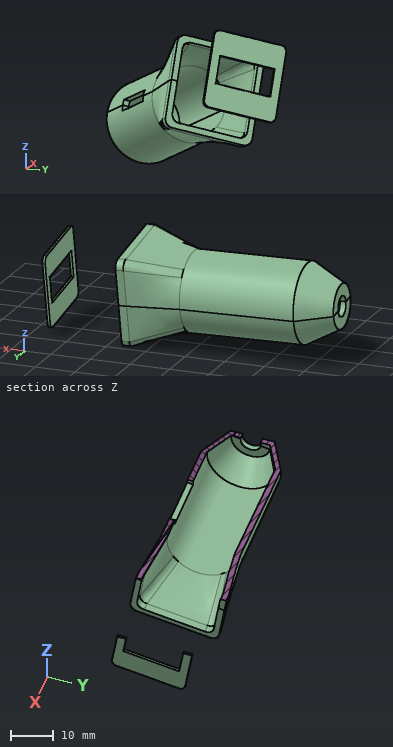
import cadquery as cq
import math

ROLL = -8.8
PITCH = 1.2
YAW = -0.2

NOSE_LENGTH = 8.4
BARREL_LENGTH = 28.8
FLARE_LENGTH = 13.0
FLANGE_LENGTH = 2.0
BARREL_START = NOSE_LENGTH
FLARE_START = BARREL_START + BARREL_LENGTH
FLANGE_START = FLARE_START + FLARE_LENGTH
HOUSING_LENGTH = FLANGE_START + FLANGE_LENGTH

WALL = 1.5
BARREL_RADIUS = 10.0
NOSE_RADIUS = 5.5
NOSE_HOLE_RADIUS = 2.5
FLANGE_WIDTH = 22.3
FLANGE_HEIGHT = 22.7
FLANGE_CORNER_RADIUS = 2.0

CORNER_ARC_SPAN = 12.0
FLARE_TWIST = 5.5

SLOT_START = 18.4
SLOT_LENGTH = 13.1
SLOT_HEIGHT = 2.7

PLATE_INSET = 1.95
PLATE_WIDTH = FLANGE_WIDTH - 2 * PLATE_INSET
PLATE_HEIGHT = FLANGE_HEIGHT - 2 * PLATE_INSET
PLATE_THICKNESS = 0.7
PLATE_CORNER_RADIUS = 1.45
PLATE_START = 70.85
WINDOW_WIDTH = 14.0
WINDOW_HEIGHT = 6.8


def placed(body):
    """Turn a body built along the X axis into its final attitude."""
    return (
        body.rotate((0, 0, 0), (1, 0, 0), ROLL)
        .rotate((0, 0, 0), (0, 1, 0), PITCH)
        .rotate((0, 0, 0), (0, 0, 1), YAW)
    )


def section(x):
    """Workplane across the axis at x; its own x and y are the part's Y and Z."""
    return cq.Workplane("YZ", origin=(x, 0, 0))


def rounded_block(x, length, width, height, corner_radius):
    """Block along the axis from x, with its four long edges rounded."""
    return section(x).rect(width, height).extrude(length).edges("|X").fillet(corner_radius)


def polar(radius, degrees, center=(0, 0)):
    """Point on a circle at an angle counted from Y towards Z."""
    angle = math.radians(degrees)
    return (center[0] + radius * math.cos(angle), center[1] + radius * math.sin(angle))


def arc_outline(plane, arcs, straight_sides):
    """Close four corner arcs, joined by straight sides or by arcs about the axis."""
    radius = math.hypot(*arcs[0][0])
    outline = plane.moveTo(*arcs[0][0])
    for index, (_, middle, end) in enumerate(arcs):
        outline = outline.threePointArc(middle, end)
        following = arcs[(index + 1) % len(arcs)][0]
        if straight_sides:
            outline = outline.lineTo(*following)
        else:
            between = math.degrees(math.atan2(end[1] + following[1], end[0] + following[0]))
            outline = outline.threePointArc(polar(radius, between), following)
    return outline.close()


def flare(radius, width, height, corner_radius):
    """Transition from the round barrel to the rounded rectangle of the flange."""
    half_span = CORNER_ARC_SPAN / 2
    circle_arcs = []
    corner_arcs = []
    for index in range(4):
        diagonal = 45 + 90 * index
        circle_middle = diagonal + FLARE_TWIST
        circle_arcs.append([polar(radius, circle_middle + turn) for turn in (-half_span, 0, half_span)])
        center = (
            math.copysign(width / 2 - corner_radius, math.cos(math.radians(diagonal))),
            math.copysign(height / 2 - corner_radius, math.sin(math.radians(diagonal))),
        )
        corner_arcs.append([polar(corner_radius, diagonal + turn, center) for turn in (-45, 0, 45)])
    circle = arc_outline(section(FLARE_START), circle_arcs, straight_sides=False).wires().val()
    rectangle = arc_outline(section(FLANGE_START), corner_arcs, straight_sides=True).wires().val()
    return cq.Workplane(cq.Solid.makeLoft([circle, rectangle], True))


def nose_and_barrel():
    """Conical nose and round barrel, solid."""
    profile = [
        (0, 0),
        (0, NOSE_RADIUS),
        (BARREL_START, BARREL_RADIUS),
        (FLARE_START, BARREL_RADIUS),
        (FLARE_START, 0),
    ]
    return cq.Workplane("XY").polyline(profile).close().revolve(360, (0, 0, 0), (1, 0, 0))


def cavity():
    """Hollow that follows the outside at the wall thickness and opens through the flange."""
    bore_radius = BARREL_RADIUS - WALL
    nose_slope = (BARREL_RADIUS - NOSE_RADIUS) / NOSE_LENGTH
    profile = [
        (WALL, 0),
        (WALL, NOSE_RADIUS + WALL * nose_slope - WALL),
        (BARREL_START, bore_radius),
        (FLARE_START, bore_radius),
        (FLARE_START, 0),
    ]
    bore = cq.Workplane("XY").polyline(profile).close().revolve(360, (0, 0, 0), (1, 0, 0))
    opening = (FLANGE_WIDTH - 2 * WALL, FLANGE_HEIGHT - 2 * WALL, FLANGE_CORNER_RADIUS)
    return (
        bore.union(flare(bore_radius, *opening))
        .union(rounded_block(FLANGE_START, FLANGE_LENGTH, *opening))
    )


def slot():
    """Cutter from the -Y side of the barrel to the axis, which only meets the wall."""
    return (
        cq.Workplane("XY")
        .box(SLOT_LENGTH, BARREL_RADIUS, SLOT_HEIGHT, centered=(False, False, True))
        .translate((SLOT_START, -BARREL_RADIUS, 0))
    )


def whole_housing():
    """The hollow housing before it is parted into its halves."""
    flange = (FLANGE_WIDTH, FLANGE_HEIGHT, FLANGE_CORNER_RADIUS)
    outside = (
        nose_and_barrel()
        .union(flare(BARREL_RADIUS, *flange))
        .union(rounded_block(FLANGE_START, FLANGE_LENGTH, *flange))
    )
    nose_hole = section(0).circle(NOSE_HOLE_RADIUS).extrude(NOSE_LENGTH)
    return outside.cut(cavity()).cut(nose_hole).cut(slot())


def housing_half(housing, side):
    """Half of the housing above (side 1) or below (side -1) the parting plane."""
    half_space = (
        section(0)
        .center(0, side * FLANGE_HEIGHT / 2)
        .rect(2 * FLANGE_WIDTH, FLANGE_HEIGHT)
        .extrude(HOUSING_LENGTH)
    )
    return placed(housing.intersect(half_space))


def window_plate():
    """Thin rounded plate with a rectangular window, held off behind the flange."""
    blank = rounded_block(
        PLATE_START, PLATE_THICKNESS, PLATE_WIDTH, PLATE_HEIGHT, PLATE_CORNER_RADIUS
    )
    window = section(PLATE_START).rect(WINDOW_WIDTH, WINDOW_HEIGHT).extrude(PLATE_THICKNESS)
    return placed(blank.cut(window))


housing = whole_housing()
housing_halves = [housing_half(housing, side) for side in (1, -1)]
plate = window_plate()

result = cq.Compound.makeCompound([*(half.val() for half in housing_halves), plate.val()])